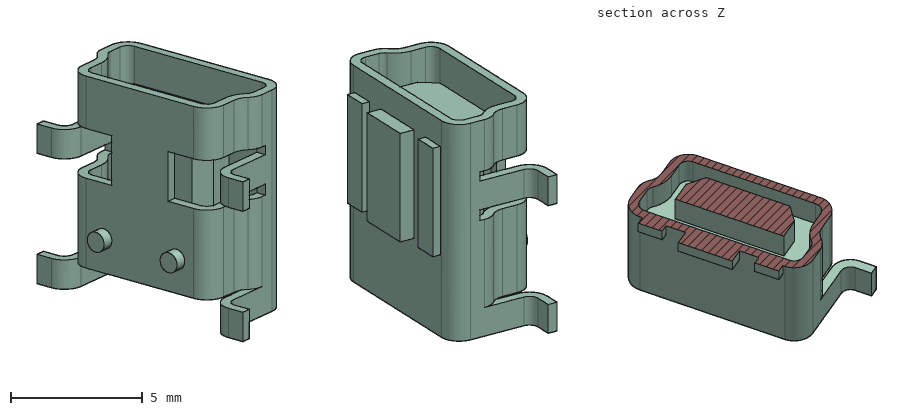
import cadquery as cq
import math


height = 9.0
overall_width = 9.9
shell_depth = 4.0
wide_half = 3.86
wall = 0.41
bend_radius = 0.8
inner_bend_radius = bend_radius - wall
shoulder_start_y = 2.58
shoulder_angle = math.radians(45)

leg_height = 1.2
upper_leg_z = 5.3
leg_inner_half = wide_half - wall
foot_bend_x = leg_inner_half + bend_radius

window_z = 4.85
window_height = 2.02
window_inner_x = 1.36
window_depth = 2.78

floor_thickness = 1.6
tongue_top_z = 8.0
tongue_half = 2.3
tongue_tip_half = 1.77
tongue_back_y = 2.53
tongue_chamfer_y = 1.6
tongue_front_y = 0.93

peg_x = 1.75
peg_z = 2.59
peg_radius = 0.41
peg_length = 0.48

pad_z = 3.4
pad_height = 4.5
center_pad_width = 2.3
center_pad_rise = 0.62
side_pad_x = 2.47
side_pad_width = 1.02
side_pad_rise = 0.34


def box(x_min, x_max, y_min, y_max, z_min, z_max):
    """Axis-aligned block between the given limits."""
    size = (x_max - x_min, y_max - y_min, z_max - z_min)
    return cq.Workplane("XY").box(*size, centered=False).translate((x_min, y_min, z_min))


def mirror_pair(half):
    """A body together with its mirror image across X = 0."""
    return half.union(half.mirror("YZ"))


def arc_point(center, radius, angle):
    return (center[0] + radius * math.cos(angle), center[1] + radius * math.sin(angle))


def tube_body(inset):
    """Solid with the shell's outline moved inwards by inset, over the full height."""
    half_angle = shoulder_angle / 2
    narrow_half = wide_half - 2 * bend_radius * (1 - math.cos(shoulder_angle))
    shoulder_end_y = shoulder_start_y - 2 * bend_radius * math.sin(shoulder_angle)
    corner = bend_radius - inset
    hollow = bend_radius + inset

    back_center = (wide_half - bend_radius, shell_depth - bend_radius)
    convex_center = (wide_half - bend_radius, shoulder_start_y)
    hollow_center = (narrow_half + bend_radius, shoulder_end_y)
    front_center = (narrow_half - bend_radius, bend_radius)

    half = (
        cq.Workplane("XY")
        .moveTo(0, shell_depth - inset)
        .lineTo(back_center[0], shell_depth - inset)
        .threePointArc(arc_point(back_center, corner, math.pi / 4), arc_point(back_center, corner, 0))
        .lineTo(*arc_point(convex_center, corner, 0))
        .threePointArc(
            arc_point(convex_center, corner, -half_angle),
            arc_point(convex_center, corner, -shoulder_angle),
        )
        .threePointArc(
            arc_point(hollow_center, hollow, math.pi - half_angle),
            arc_point(hollow_center, hollow, math.pi),
        )
        .lineTo(*arc_point(front_center, corner, 0))
        .threePointArc(
            arc_point(front_center, corner, -math.pi / 4),
            arc_point(front_center, corner, -math.pi / 2),
        )
        .lineTo(0, inset)
        .close()
        .extrude(height)
    )
    return mirror_pair(half)


def make_shell():
    shell = tube_body(0).cut(tube_body(wall))
    shell = shell.cut(box(-wide_half, wide_half, 0, shoulder_start_y, 0, leg_height))
    window = box(window_inner_x, wide_half, 0, window_depth, window_z, window_z + window_height)
    return shell.cut(mirror_pair(window))


def make_leg(bottom_z, root_y):
    """One leg on the +X side: a straight strip from root_y, a bend and a flat foot."""
    bend_center = (foot_bend_x, bend_radius)
    middle = math.radians(225)
    return (
        cq.Workplane("XY")
        .workplane(offset=bottom_z)
        .moveTo(leg_inner_half, root_y)
        .lineTo(leg_inner_half, bend_radius)
        .threePointArc(arc_point(bend_center, bend_radius, middle), (foot_bend_x, 0))
        .lineTo(overall_width / 2, 0)
        .lineTo(overall_width / 2, wall)
        .lineTo(foot_bend_x, wall)
        .threePointArc(arc_point(bend_center, inner_bend_radius, middle), (wide_half, bend_radius))
        .lineTo(wide_half, root_y)
        .close()
        .extrude(leg_height)
    )


def make_insulator():
    """Floor that closes the bottom of the tube, with the contact tongue standing on it."""
    floor_slab = box(-wide_half, wide_half, 0, shell_depth, leg_height, leg_height + floor_thickness)
    insulator_floor = tube_body(wall).intersect(floor_slab)
    tongue = (
        cq.Workplane("XY")
        .workplane(offset=leg_height)
        .polyline([
            (-tongue_half, tongue_back_y),
            (tongue_half, tongue_back_y),
            (tongue_half, tongue_chamfer_y),
            (tongue_tip_half, tongue_front_y),
            (-tongue_tip_half, tongue_front_y),
            (-tongue_half, tongue_chamfer_y),
        ])
        .close()
        .extrude(tongue_top_z - leg_height)
    )
    return insulator_floor.union(tongue)


def make_pegs():
    return (
        cq.Workplane("XZ", origin=(0, wall, 0))
        .pushPoints([(-peg_x, peg_z), (peg_x, peg_z)])
        .circle(peg_radius)
        .extrude(wall + peg_length)
    )


def make_pad(center_x, width, rise):
    left = center_x - width / 2
    return box(left, left + width, shell_depth - wall, shell_depth + rise, pad_z, pad_z + pad_height)


result = make_shell().union(make_insulator()).union(make_pegs())
for leg_z, leg_root_y in ((0, shoulder_start_y), (upper_leg_z, window_depth)):
    result = result.union(mirror_pair(make_leg(leg_z, leg_root_y)))
result = result.union(make_pad(0, center_pad_width, center_pad_rise))
result = result.union(mirror_pair(make_pad(side_pad_x, side_pad_width, side_pad_rise)))